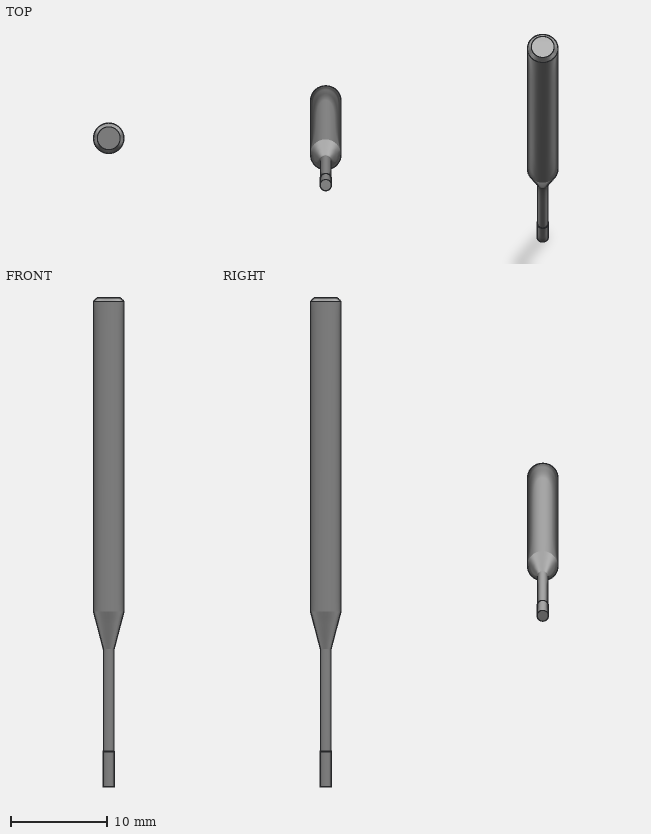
import cadquery as cq

total_length = 50.8
shank_diameter = 3.175
shank_chamfer = 0.4

tip_diameter = 1.19
tip_length = 3.65

neck_diameter = 1.12
step_taper_length = 0.1
neck_top = 14.3
shank_taper_length = 3.9

shank_radius = shank_diameter / 2
tip_radius = tip_diameter / 2
neck_radius = neck_diameter / 2
neck_bottom = tip_length + step_taper_length
shank_bottom = neck_top + shank_taper_length


def make_tip():
    """Plain cylindrical cutting tip, standing on Z = 0."""
    return cq.Workplane("XY").circle(tip_radius).extrude(tip_length)


def make_shank():
    """Turned body above the tip: step taper, neck, long taper and chamfered shank."""
    half_profile = (
        cq.Workplane("XZ")
        .moveTo(0, tip_length)
        .lineTo(tip_radius, tip_length)
        .lineTo(neck_radius, neck_bottom)
        .lineTo(neck_radius, neck_top)
        .lineTo(shank_radius, shank_bottom)
        .lineTo(shank_radius, total_length - shank_chamfer)
        .lineTo(shank_radius - shank_chamfer, total_length)
        .lineTo(0, total_length)
        .close()
    )
    return half_profile.revolve(360, (0, 0, 0), (0, 1, 0))


tip = make_tip()
shank = make_shank()

result = cq.Compound.makeCompound([tip.val(), shank.val()])